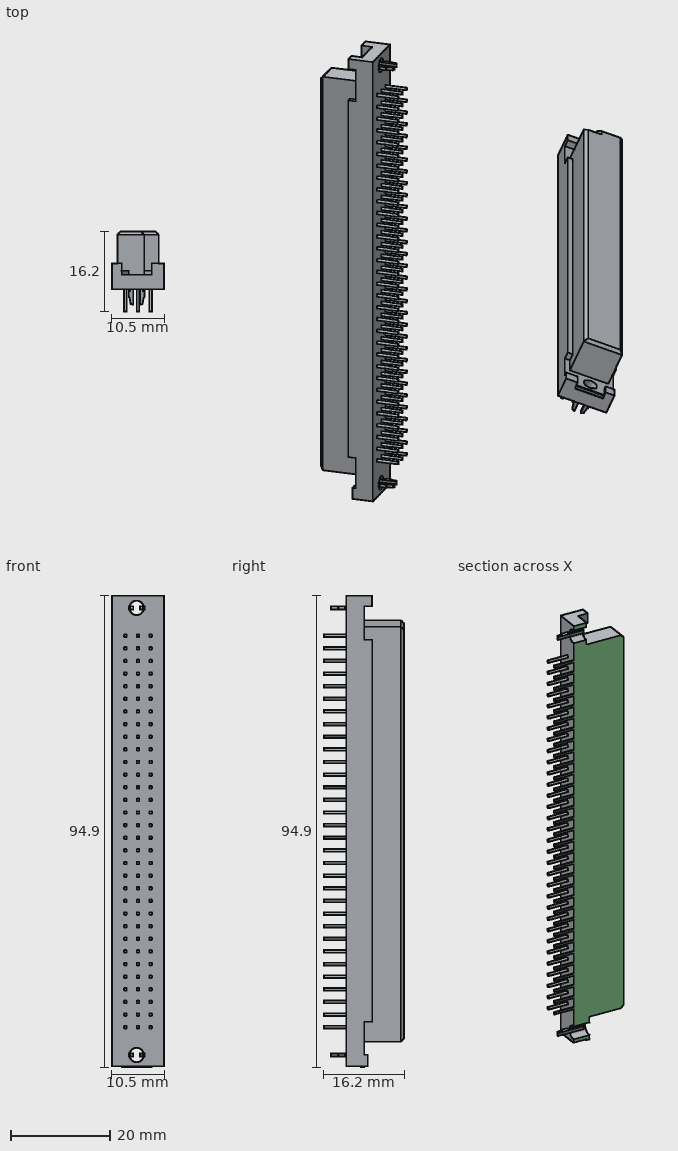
import cadquery as cq


base_width = 10.5
base_length = 94.7
base_thickness = 3.7
wall_height = 5.2
lower_flange_height = 4.4
upper_flange_length = 2.2
lower_flange_length = 2.4
rail_inset = 8.9

block_width = 8.35
block_height = 11.7
block_inset = 4.9
block_chamfer = 0.7
step_x = 1.2
step_drop = 1.3

pattern_drop = 0.1
hole_diameter = 2.8
hole_spacing = 90.0
hole_x = -0.3
slot_width = 6.1
slot_floor = 2.9
pocket_end_width = 3.1

lip_length = 0.2
lip_thickness = 0.7

pin_rows = 32
pin_columns = 3
pin_span = 78.8
pin_pitch = pin_span / (pin_rows - 1)
pin_diameter = 0.6
pin_length = 4.5

leg_thickness = 0.7
leg_inner = 0.7
leg_outer = 1.3
barb_outer = 1.6
barb_top = -0.3
barb_bottom = -1.5
ramp_top_x = 1.4
ramp_top_y = -1.7
ramp_bottom_x = 1.2
ramp_bottom_y = -2.9
tip_y = -3.1

middle_z = base_length / 2 - pattern_drop
hole_heights = [middle_z - hole_spacing / 2, middle_z + hole_spacing / 2]


def box(x_range, y_range, z_range):
    """Axis-aligned box between the given limits."""
    size = [end - start for start, end in (x_range, y_range, z_range)]
    corner = (x_range[0], y_range[0], z_range[0])
    return cq.Workplane("XY").box(*size, centered=False).translate(corner)


def make_base():
    """Base plate with two side rails and a flange at each end."""
    half = base_width / 2
    base = box((-half, half), (0, base_thickness), (0, base_length))
    rails = box((-half, half), (0, wall_height), (rail_inset, base_length - rail_inset))
    upper = box((-half, half), (0, wall_height), (base_length - upper_flange_length, base_length))
    lower = box((-half, half), (0, lower_flange_height), (0, lower_flange_length))
    return base.union(rails).union(upper).union(lower)


def cut_end_slots(base):
    """Open both flanges, and sink a pocket with a tapered end into the upper end of the base."""
    left = hole_x - slot_width / 2
    right = hole_x + slot_width / 2
    lower_slot = box((left, right), (base_thickness, wall_height), (0, block_inset))
    pocket_end = base_length - block_inset
    upper_slot = box((left, right), (base_thickness, wall_height), (pocket_end, base_length))
    taper_start = base_length - upper_flange_length
    pocket = (
        cq.Workplane("XZ", origin=(0, slot_floor, 0))
        .moveTo(left, base_length)
        .lineTo(left, taper_start)
        .lineTo(hole_x - pocket_end_width / 2, pocket_end)
        .lineTo(hole_x + pocket_end_width / 2, pocket_end)
        .lineTo(right, taper_start)
        .lineTo(right, base_length)
        .close()
        .extrude(slot_floor - wall_height)
    )
    return base.cut(lower_slot).cut(upper_slot).cut(pocket)


def make_block():
    """Mating block with a step at its upper end and a chamfered mating face."""
    half = block_width / 2
    top = base_length - block_inset
    block = box((-half, half), (base_thickness, block_height), (block_inset, top))
    step = box((step_x, half), (base_thickness, block_height), (top - step_drop, top))
    block = block.cut(step)
    return block.faces(">Y").chamfer(block_chamfer)


def make_pins():
    """Grid of round contact pins on the back of the base."""
    return (
        cq.Workplane("XZ", origin=(0, 0, middle_z))
        .rarray(pin_pitch, pin_pitch, pin_columns, pin_rows)
        .circle(pin_diameter / 2)
        .extrude(pin_length)
    )


def make_housing():
    """Base, mating block, lip and pins in one solid, with the two latch holes cut through."""
    block = make_block()
    base = cut_end_slots(make_base())
    lip = box(
        (hole_x - slot_width / 2, hole_x + slot_width / 2),
        (slot_floor, slot_floor + lip_thickness),
        (-lip_length, 0),
    )
    housing = base.union(block).union(lip).union(make_pins())
    holes = (
        cq.Workplane("XZ")
        .pushPoints([(hole_x, z) for z in hole_heights])
        .circle(hole_diameter / 2)
        .extrude(-block_height)
    )
    return housing.cut(holes)


def make_latch_leg(side, hole_z):
    """Barbed leg inside a latch hole; side is -1 or +1 along X."""
    profile = [
        (leg_inner, slot_floor),
        (leg_outer, slot_floor),
        (leg_outer, barb_top),
        (barb_outer, barb_top),
        (barb_outer, barb_bottom),
        (ramp_top_x, ramp_top_y),
        (ramp_bottom_x, ramp_bottom_y),
        (leg_inner, tip_y),
    ]
    return (
        cq.Workplane("XY", origin=(hole_x, 0, hole_z))
        .polyline([(side * x, y) for x, y in profile])
        .close()
        .extrude(leg_thickness / 2, both=True)
    )


housing = make_housing()
latch_legs = [make_latch_leg(side, z) for z in hole_heights for side in (-1, 1)]

result = cq.Compound.makeCompound([housing.val(), *[leg.val() for leg in latch_legs]])